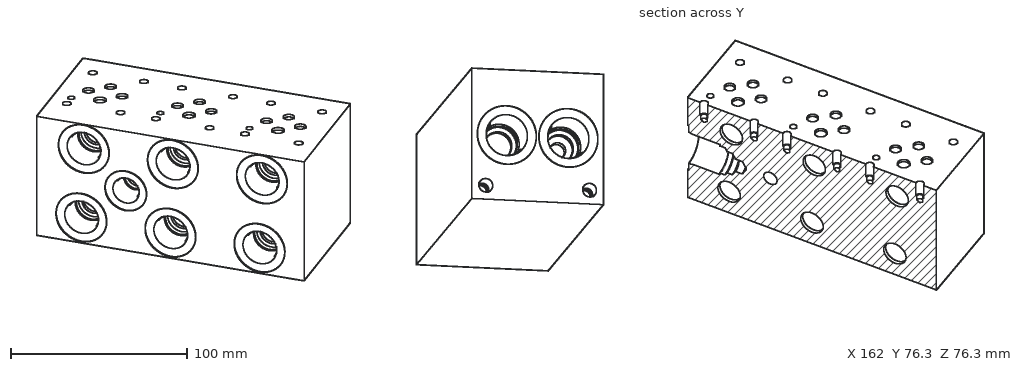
import cadquery as cq
import math

LENGTH = 162.0
WIDTH = 76.3
HEIGHT = 76.3

DRILL_POINT_ANGLE = 118.0
POINT_SLOPE = math.tan(math.radians(DRILL_POINT_ANGLE / 2))

STATION_COUNT = 3
STATION_PITCH = 54.0
STATIONS = [i * STATION_PITCH for i in range(STATION_COUNT)]

SPOTFACE_DEPTH = 0.6
TAPER_DEPTH = 2.6

WORK_SPOTFACE_D = 30.6
WORK_MOUTH_D = 20.4
WORK_THREAD_D = 19.1
WORK_THREAD_DEPTH = 16.2
WORK_BORE_D = 17.5
WORK_BORE_DEPTH = 19.5
WORK_DRILL_D = 14.2
WORK_DRILL_DEPTH = 22.7
A_X, A_Z = 27.0, 16.2
B_X, B_Z = 28.5, 60.4

GAUGE_SPOTFACE_D = 25.1
GAUGE_MOUTH_D = 15.9
GAUGE_THREAD_D = 14.2
GAUGE_THREAD_DEPTH = 16.2
GAUGE_BORE_D = 12.5
GAUGE_BORE_DEPTH = 19.5
GAUGE_X = 54.0

SUPPLY_SPOTFACE_D = 34.2
SUPPLY_MOUTH_D = 24.0
SUPPLY_THREAD_D = 22.5
SUPPLY_THREAD_DEPTH = 21.0
SUPPLY_BORE_D = 20.4
SUPPLY_BORE_DEPTH = 24.3
SUPPLY_DRILL_D = 15.9
SUPPLY_DRILL_DEPTH = 29.1
SUPPLY_SPACING = 35.6
PRESSURE_PILOT_D = 9.0
PRESSURE_PILOT_DEPTH = 35.6

MOUNT_THREAD_D = 8.0
MOUNT_THREAD_DEPTH = 11.3
MOUNT_DRILL_D = 6.3
MOUNT_DRILL_DEPTH = 14.5
MOUNT_EDGE = 8.1

PATTERN_X, PATTERN_Y = 26.9, 40.0
FLOW_OFFSET_X = 10.2
FLOW_OFFSET_Y = 8.7
FLOW_D = 6.5
LARGE_FLOW_D = 7.1
FLOW_DEPTH = 1.6
LOCATOR_D = 3.9
LOCATOR_DEPTH = 4.9
LOCATOR_OFFSET_Y = 7.5
BOLT_THREAD_D = 4.9
BOLT_THREAD_DEPTH = 9.7
BOLT_DRILL_D = 3.7
BOLT_DRILL_DEPTH = 13.0
REAR_BOLT_X, REAR_BOLT_SPAN, REAR_BOLT_Y = 11.5, 31.0, 61.2
FRONT_BOLT_X, FRONT_BOLT_SPAN, FRONT_BOLT_Y = 10.7, 32.5, 20.7


def revolved_cutter(profile):
    """Tool along +Z from (radius, depth) points that end at the rim of a drill point."""
    last_radius, last_depth = profile[-1]
    tip_depth = last_depth + last_radius / POINT_SLOPE
    points = [(0, 0)] + profile + [(0, tip_depth)]
    return cq.Workplane("XZ").polyline(points).close().revolve(360, (0, 0, 0), (0, 1, 0))


def drill(diameter, depth):
    return revolved_cutter([(diameter / 2, 0), (diameter / 2, depth)])


def tapped_hole(thread_d, thread_depth, drill_d, drill_depth):
    """Thread at its major diameter with a flat step down to the tap drill."""
    return revolved_cutter([
        (thread_d / 2, 0),
        (thread_d / 2, thread_depth),
        (drill_d / 2, thread_depth),
        (drill_d / 2, drill_depth),
    ])


def port(spotface_d, mouth_d, thread, bore, drills=()):
    """Spotface, tapered seal seat, thread and bore, then drills that start at drill-point cones.

    The thread, the bore and each drill are given as (diameter, depth).
    """
    thread_d, thread_depth = thread
    bore_d, bore_depth = bore
    profile = [
        (spotface_d / 2, 0),
        (spotface_d / 2, SPOTFACE_DEPTH),
        (mouth_d / 2, SPOTFACE_DEPTH),
        (thread_d / 2, SPOTFACE_DEPTH + TAPER_DEPTH),
        (thread_d / 2, thread_depth),
        (bore_d / 2, thread_depth),
        (bore_d / 2, bore_depth),
    ]
    for diameter, depth in drills:
        radius = diameter / 2
        last_radius, last_depth = profile[-1]
        profile.append((radius, last_depth + (last_radius - radius) / POINT_SLOPE))
        profile.append((radius, depth))
    return revolved_cutter(profile)


def from_front(cutter, x, z):
    return cutter.rotate((0, 0, 0), (1, 0, 0), -90).translate((x, 0, z))


def from_left(cutter, y, z):
    return cutter.rotate((0, 0, 0), (0, 1, 0), 90).translate((0, y, z))


def from_top(cutter, x, y):
    return cutter.rotate((0, 0, 0), (1, 0, 0), 180).translate((x, y, HEIGHT))


def front_ports():
    work_port = port(
        WORK_SPOTFACE_D,
        WORK_MOUTH_D,
        (WORK_THREAD_D, WORK_THREAD_DEPTH),
        (WORK_BORE_D, WORK_BORE_DEPTH),
        [(WORK_DRILL_D, WORK_DRILL_DEPTH)],
    )
    gauge_port = port(
        GAUGE_SPOTFACE_D,
        GAUGE_MOUTH_D,
        (GAUGE_THREAD_D, GAUGE_THREAD_DEPTH),
        (GAUGE_BORE_D, GAUGE_BORE_DEPTH),
    )
    cutters = [from_front(gauge_port, GAUGE_X, HEIGHT / 2)]
    for station in STATIONS:
        cutters.append(from_front(work_port, A_X + station, A_Z))
        cutters.append(from_front(work_port, B_X + station, B_Z))
    return cutters


def end_ports():
    thread = (SUPPLY_THREAD_D, SUPPLY_THREAD_DEPTH)
    bore = (SUPPLY_BORE_D, SUPPLY_BORE_DEPTH)
    main_drill = (SUPPLY_DRILL_D, SUPPLY_DRILL_DEPTH)
    pilot_drill = (PRESSURE_PILOT_D, PRESSURE_PILOT_DEPTH)
    tank = port(SUPPLY_SPOTFACE_D, SUPPLY_MOUTH_D, thread, bore, [main_drill])
    pressure = port(SUPPLY_SPOTFACE_D, SUPPLY_MOUTH_D, thread, bore, [main_drill, pilot_drill])
    return [
        from_left(tank, (WIDTH + SUPPLY_SPACING) / 2, HEIGHT / 2),
        from_left(pressure, (WIDTH - SUPPLY_SPACING) / 2, HEIGHT / 2),
    ]


def mounting_holes():
    hole = tapped_hole(MOUNT_THREAD_D, MOUNT_THREAD_DEPTH, MOUNT_DRILL_D, MOUNT_DRILL_DEPTH)
    return [from_left(hole, y, MOUNT_EDGE) for y in (MOUNT_EDGE, WIDTH - MOUNT_EDGE)]


def valve_pattern(station):
    center_x = PATTERN_X + station
    flow = drill(FLOW_D, FLOW_DEPTH)
    bolt = tapped_hole(BOLT_THREAD_D, BOLT_THREAD_DEPTH, BOLT_DRILL_D, BOLT_DRILL_DEPTH)
    rear_x = REAR_BOLT_X + station
    front_x = FRONT_BOLT_X + station
    return [
        from_top(flow, center_x - FLOW_OFFSET_X, PATTERN_Y),
        from_top(flow, center_x + FLOW_OFFSET_X, PATTERN_Y),
        from_top(flow, center_x, PATTERN_Y + FLOW_OFFSET_Y),
        from_top(drill(LARGE_FLOW_D, FLOW_DEPTH), center_x, PATTERN_Y - FLOW_OFFSET_Y),
        from_top(drill(LOCATOR_D, LOCATOR_DEPTH), front_x, FRONT_BOLT_Y + LOCATOR_OFFSET_Y),
        from_top(bolt, rear_x, REAR_BOLT_Y),
        from_top(bolt, rear_x + REAR_BOLT_SPAN, REAR_BOLT_Y),
        from_top(bolt, front_x, FRONT_BOLT_Y),
        from_top(bolt, front_x + FRONT_BOLT_SPAN, FRONT_BOLT_Y),
    ]


cutters = front_ports() + end_ports() + mounting_holes()
for station in STATIONS:
    cutters += valve_pattern(station)

result = cq.Workplane("XY").box(LENGTH, WIDTH, HEIGHT, centered=False)
for cutter in cutters:
    result = result.cut(cutter)